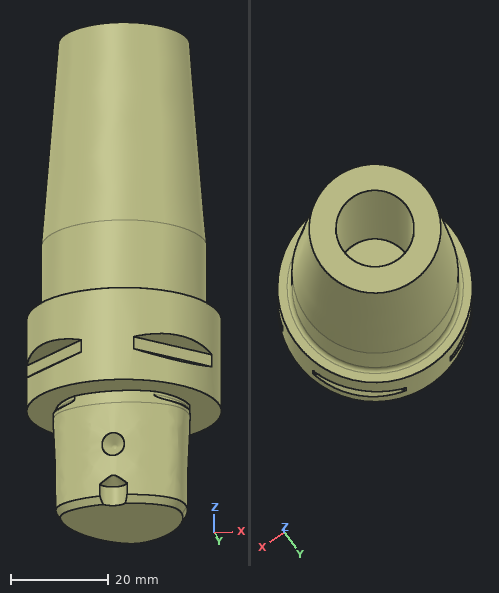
import cadquery as cq
import math

total_height = 104.0
collar_bottom = 24.0
collar_height = 20.0
collar_top = collar_bottom + collar_height
cone_bottom = 59.8

collar_diameter = 40.0
collar_radius = collar_diameter / 2
neck_radius = 17.1
neck_fillet = 1.0
nose_radius = 13.5
bore_radius = 8.0
bore_depth = 49.9

lobe_count = 3
shank_radius = 14.0
lobe_height = 0.99
straight_height = 2.5
taper_on_radius = 1 / 40
chamfer_height = 1.6
chamfer_inset = 0.9
taper_bottom_radius = shank_radius - taper_on_radius * (collar_bottom - straight_height - chamfer_height)
shank_bottom_radius = taper_bottom_radius - chamfer_inset

relief_straight = 0.6
relief_radius = 1.0

flat_count = 4
flat_distance = 17.5
flat_height = 2.6
flat_center = 32.0
flat_wall_angle = 30.0

dimple_diameter = 4.9
dimple_radius = dimple_diameter / 2
dimple_height = 12.5
locating_radius = 3.0
locating_depth = 4.1
locating_offset = 13.4
drill_half_angle = 52.0


def lobed_point(t, radius):
    """Point of a constant-width curve with lobes, one of them toward +Y."""
    angle = 2 * math.pi * t
    phase = lobe_count * (angle - math.pi / 2)
    reach = radius + lobe_height * math.cos(phase)
    slope = -lobe_count * lobe_height * math.sin(phase)
    return (
        reach * math.cos(angle) - slope * math.sin(angle),
        reach * math.sin(angle) + slope * math.cos(angle),
    )


def lobed_section(bottom, bottom_radius, top, top_radius):
    """Length of shank blending between two parallel lobed outlines."""
    return (
        cq.Workplane("XY", origin=(0, 0, bottom))
        .parametricCurve(lambda t: lobed_point(t, bottom_radius), N=120)
        .workplane(offset=top - bottom)
        .parametricCurve(lambda t: lobed_point(t, top_radius), N=120)
        .loft(ruled=True)
    )


def turned_body():
    fillet_mid = neck_fillet * (1 - math.sqrt(0.5))
    outline = (
        cq.Workplane("XZ")
        .moveTo(0, collar_bottom)
        .lineTo(collar_radius, collar_bottom)
        .lineTo(collar_radius, collar_top)
        .lineTo(neck_radius + neck_fillet, collar_top)
        .threePointArc(
            (neck_radius + fillet_mid, collar_top + fillet_mid),
            (neck_radius, collar_top + neck_fillet),
        )
        .lineTo(neck_radius, cone_bottom)
        .lineTo(nose_radius, total_height)
        .lineTo(0, total_height)
        .close()
    )
    body = outline.revolve(360, (0, 0), (0, 1))
    bore = cq.Workplane("XY", origin=(0, 0, total_height)).circle(bore_radius).extrude(-bore_depth)
    return body.cut(bore)


def lobe_relief():
    """Ring with a cylindrical wall and a rounded lower corner that trims the lobes."""
    straight_bottom = collar_bottom - relief_straight
    arc_mid = relief_radius * math.sqrt(0.5)
    return (
        cq.Workplane("XZ")
        .moveTo(shank_radius, collar_bottom)
        .lineTo(shank_radius, straight_bottom)
        .threePointArc(
            (shank_radius + relief_radius - arc_mid, straight_bottom - arc_mid),
            (shank_radius + relief_radius, straight_bottom - relief_radius),
        )
        .lineTo(shank_radius + relief_radius, collar_bottom)
        .close()
        .revolve(360, (0, 0), (0, 1))
    )


def shank():
    taper_top = collar_bottom - straight_height
    chamfer = lobed_section(0, shank_bottom_radius, chamfer_height, taper_bottom_radius)
    taper = lobed_section(chamfer_height, taper_bottom_radius, taper_top, shank_radius)
    straight = lobed_section(taper_top, shank_radius, collar_bottom, shank_radius)
    return chamfer.union(taper).union(straight).cut(lobe_relief())


def gripper_groove():
    """Straight groove across the +X side, opening outward between sloped walls."""
    outer = collar_radius + 1
    half_floor = flat_height / 2
    half_mouth = half_floor + (outer - flat_distance) * math.tan(math.radians(flat_wall_angle))
    return (
        cq.Workplane("XZ")
        .moveTo(flat_distance, flat_center - half_floor)
        .lineTo(outer, flat_center - half_mouth)
        .lineTo(outer, flat_center + half_mouth)
        .lineTo(flat_distance, flat_center + half_floor)
        .close()
        .extrude(collar_radius, both=True)
    )


def dimple():
    """Ninety degree conical dimple; the -Y side lies midway between two lobes."""
    side = shank_radius - lobe_height - taper_on_radius * (collar_bottom - straight_height - dimple_height)
    overshoot = 0.5
    return cq.Workplane(
        cq.Solid.makeCone(
            dimple_radius + overshoot,
            0,
            dimple_radius + overshoot,
            pnt=cq.Vector(0, -side - overshoot, dimple_height),
            dir=cq.Vector(0, 1, 0),
        )
    )


def locating_hole():
    """Blind drilled hole with a conical end, breaking out through the shank side."""
    tip_height = locating_radius / math.tan(math.radians(drill_half_angle))
    return (
        cq.Workplane("XZ", origin=(0, -locating_offset, 0))
        .lineTo(locating_radius, 0)
        .lineTo(locating_radius, locating_depth)
        .lineTo(0, locating_depth + tip_height)
        .close()
        .revolve(360, (0, 0), (0, 1))
    )


result = turned_body().union(shank())
for index in range(flat_count):
    turn = (index + 0.5) * 360 / flat_count
    result = result.cut(gripper_groove().rotate((0, 0, 0), (0, 0, 1), turn))
result = result.cut(dimple()).cut(locating_hole())